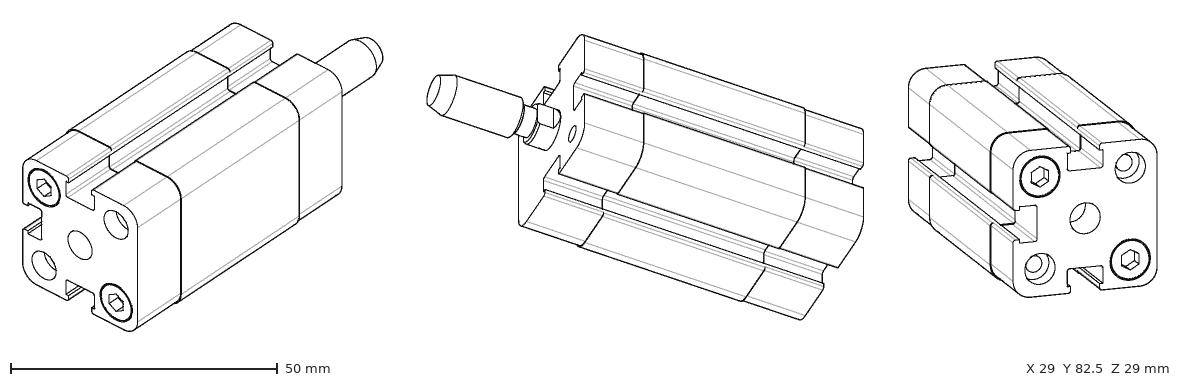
import cadquery as cq
import math

total_length = 82.5
housing_length = 58.0
cap_length = 12.2
tube_length = housing_length - 2 * cap_length

tube_width = 29.0
cap_width = 28.7
corner_radius = 3.5

slot_mouth_width = 5.8
slot_fillet = 0.5
slot_lip_inner = 13.0
cap_slot_floor = 9.6
tube_slot_floor = 9.4
tube_undercut_width = 6.7
cap_undercut_width = 7.1
slot_angles = (0, 90, 180)

corner_offset = 9.0
mounting_hole_diameter = 3.2
mounting_bore_diameter = 6.0
mounting_bore_depth = 3.5
screw_recess_diameter = 8.0
screw_head_diameter = 7.5
screw_gap_depth = 0.4
hex_across_flats = 3.5
hex_across_corners = hex_across_flats / math.cos(math.radians(30))
hex_turn = 30
hex_depth = 2.5

centre_hole_diameter = 6.0
centre_hole_depth = 8.25

rod_radius = 8.0 / 2
rod_end = 62.4
rod_chamfer_length = 0.5
rod_chamfer_height = 0.25
neck_radius = 5.8 / 2
thread_start = 65.1
thread_chamfer_length = 0.75
thread_root_radius = 6.0 / 2
tip_length = 3.0
flat_distance = 6.0 / 2
flat_start = 59.1


def slot_cutter(outer_width, undercut_width, slot_floor, start, length):
    """Slot on the +Z side of a housing section, open at the outside."""
    surface = outer_width / 2
    mouth = slot_mouth_width / 2
    undercut = undercut_width / 2
    half_outline = (
        cq.Workplane("XZ", origin=(0, start, 0))
        .moveTo(0, slot_floor)
        .lineTo(undercut - slot_fillet, slot_floor)
        .tangentArcPoint((undercut, slot_floor + slot_fillet), relative=False)
        .lineTo(undercut, slot_lip_inner)
        .lineTo(mouth, slot_lip_inner)
        .lineTo(mouth, surface - slot_fillet)
        .tangentArcPoint((mouth + slot_fillet, surface), relative=False)
        .lineTo(0, surface)
    )
    return half_outline.mirrorY().extrude(-length)


def housing_section(width, undercut_width, slot_floor, start, length):
    """Rounded square bar with a slot on three of its sides."""
    section = (
        cq.Workplane("XZ", origin=(0, start, 0))
        .rect(width, width)
        .extrude(-length)
        .edges("|Y")
        .fillet(corner_radius)
    )
    cutter = slot_cutter(width, undercut_width, slot_floor, start, length)
    for angle in slot_angles:
        section = section.cut(cutter.rotate((0, 0, 0), (0, 1, 0), -angle))
    return section


def rear_bore(points, diameter, depth):
    """Round cutters going into the rear face at the given (x, z) points."""
    return cq.Workplane("XZ").pushPoints(points).circle(diameter / 2).extrude(-depth)


def piston_rod():
    """Turned rod with two wrench flats near the housing."""
    profile = [
        (0, housing_length - cap_length),
        (rod_radius, housing_length - cap_length),
        (rod_radius, rod_end - rod_chamfer_length),
        (rod_radius - rod_chamfer_height, rod_end),
        (neck_radius, rod_end),
        (neck_radius, thread_start),
        (thread_root_radius, thread_start),
        (rod_radius, thread_start + thread_chamfer_length),
        (rod_radius, total_length - tip_length),
        (thread_root_radius, total_length),
        (0, total_length),
    ]
    rod = cq.Workplane("XY").polyline(profile).close().revolve(360, (0, 0, 0), (0, 1, 0))
    run_out = rod_radius - flat_distance
    flat = (
        cq.Workplane("XY")
        .polyline([
            (flat_distance, flat_start),
            (flat_distance, rod_end),
            (rod_radius, rod_end),
            (rod_radius, flat_start - run_out),
        ])
        .close()
        .extrude(rod_radius, both=True)
    )
    return rod.cut(flat).cut(flat.mirror("YZ"))


front_cap_start = housing_length - cap_length
result = housing_section(tube_width, tube_undercut_width, tube_slot_floor, cap_length, tube_length)
for start in (0, front_cap_start):
    result = result.union(
        housing_section(cap_width, cap_undercut_width, cap_slot_floor, start, cap_length)
    )
result = result.union(piston_rod())

hole_points = [(corner_offset, corner_offset), (-corner_offset, -corner_offset)]
result = result.cut(rear_bore(hole_points, mounting_hole_diameter, housing_length))
result = result.cut(rear_bore(hole_points, mounting_bore_diameter, mounting_bore_depth))

screw_points = [(-corner_offset, corner_offset), (corner_offset, -corner_offset)]
head_recess = rear_bore(screw_points, screw_recess_diameter, screw_gap_depth)
screw_head = rear_bore(screw_points, screw_head_diameter, screw_gap_depth)
result = result.cut(head_recess.cut(screw_head))
for x, z in screw_points:
    socket = cq.Workplane("XZ").polygon(6, hex_across_corners).extrude(-hex_depth)
    socket = socket.rotate((0, 0, 0), (0, 1, 0), hex_turn).translate((x, 0, z))
    result = result.cut(socket)

result = result.cut(rear_bore([(0, 0)], centre_hole_diameter, centre_hole_depth))